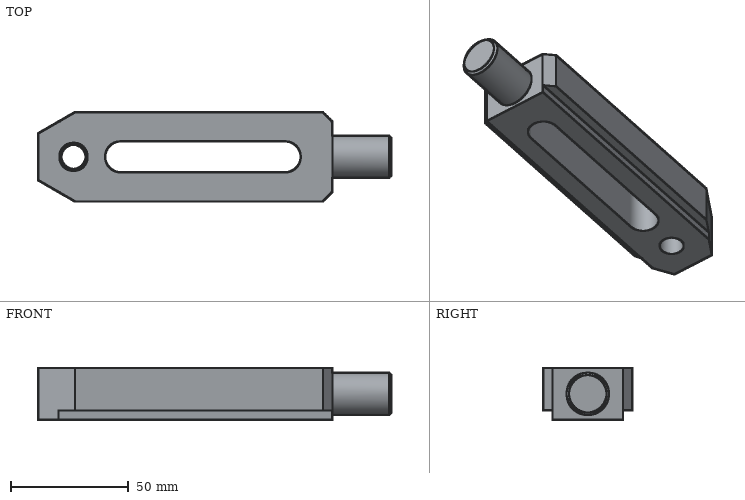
import cadquery as cq
import math

total_length = 150
body_length = 125.0
body_width = 38.0
body_height = 22.0

nose_width = 20.0
nose_angle = math.radians(30)
rear_chamfer = 4.0

foot_width = 30
foot_height = 4.0

slot_start = 28.5
slot_length = 83.0
slot_width = 13.0

hole_position = 15
hole_diameter = 10.2
countersink_diameter = 12
countersink_angle = 90

pin_diameter = 18
pin_chamfer = 1.0

half_width = body_width / 2
half_nose = nose_width / 2
nose_length = (half_width - half_nose) / math.tan(nose_angle)
pin_length = total_length - body_length


def make_body():
    """Bar with a tapered nose and chamfered rear corners."""
    return (
        cq.Workplane("XY")
        .moveTo(0, -half_nose)
        .lineTo(nose_length, -half_width)
        .lineTo(body_length - rear_chamfer, -half_width)
        .lineTo(body_length, -half_width + rear_chamfer)
        .lineTo(body_length, half_width - rear_chamfer)
        .lineTo(body_length - rear_chamfer, half_width)
        .lineTo(nose_length, half_width)
        .lineTo(0, half_nose)
        .close()
        .extrude(body_height)
    )


def make_side_step(side):
    """Material removed beside the narrower foot; side is -1 or 1."""
    step_width = (body_width - foot_width) / 2
    return (
        cq.Workplane("XY")
        .center(body_length / 2, side * (foot_width + step_width) / 2)
        .rect(body_length, step_width)
        .extrude(foot_height)
    )


def make_pin():
    """Round pin on the rear face, chamfered at its free end."""
    return (
        cq.Workplane("YZ", origin=(body_length, 0, body_height / 2))
        .circle(pin_diameter / 2)
        .extrude(pin_length)
        .faces(">X")
        .chamfer(pin_chamfer)
    )


body = make_body()
for side in (-1, 1):
    body = body.cut(make_side_step(side))

slot = (
    cq.Workplane("XY")
    .center(slot_start + slot_length / 2, 0)
    .slot2D(slot_length, slot_width)
    .extrude(body_height)
)
body = body.cut(slot)

body = (
    body.faces(">Z")
    .workplane(origin=(hole_position, 0, body_height))
    .cskHole(hole_diameter, countersink_diameter, countersink_angle)
)

result = body.union(make_pin())